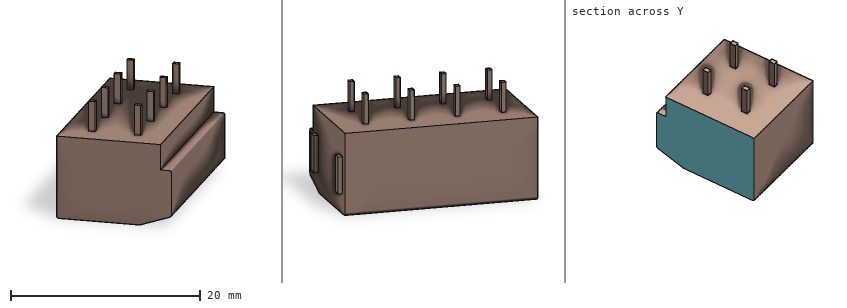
import cadquery as cq

width = 12.6
length = 21.32
height = 9.1
top_width = 11.4
ledge_height = 6.3
bevel_start = 9.1
bevel_height = 1.2
edge_radius = 0.3

pin_width = 0.7
pin_thickness = 0.5
pin_height = 3.3
pin_rows = 2
pins_per_row = 4
row_spacing = 5.0
pin_pitch = 5.08
first_row_x = 3.15
first_pin_y = 2.88

tab_width = 1.0
tab_depth = 0.5
tab_height = 4.05
tab_margin = 0.87
tab_top = ledge_height


def make_housing():
    profile = (
        cq.Workplane("XZ")
        .moveTo(0, 0)
        .lineTo(bevel_start, 0)
        .lineTo(width, bevel_height)
        .lineTo(width, ledge_height)
        .lineTo(top_width, ledge_height)
        .lineTo(top_width, height)
        .lineTo(0, height)
        .close()
    )
    housing = profile.extrude(-length)
    rounded_corners = [(0, 0), (width, bevel_height), (width, ledge_height)]
    for x, z in rounded_corners:
        corner_edge = cq.selectors.NearestToPointSelector((x, length / 2, z))
        housing = housing.edges("|Y").edges(corner_edge).fillet(edge_radius)
    return housing


def make_pins():
    pin_places = [
        (first_row_x + row * row_spacing, first_pin_y + index * pin_pitch)
        for row in range(pin_rows)
        for index in range(pins_per_row)
    ]
    return (
        cq.Workplane("XY", origin=(0, 0, height))
        .pushPoints(pin_places)
        .rect(pin_width, pin_thickness)
        .extrude(pin_height)
    )


def make_tab(left_x):
    corner = (left_x, length, tab_top - tab_height)
    return cq.Workplane("XY", origin=corner).box(tab_width, tab_depth, tab_height, centered=False)


result = make_housing().union(make_pins())
for tab_x in (tab_margin, top_width - tab_margin - tab_width):
    result = result.union(make_tab(tab_x))